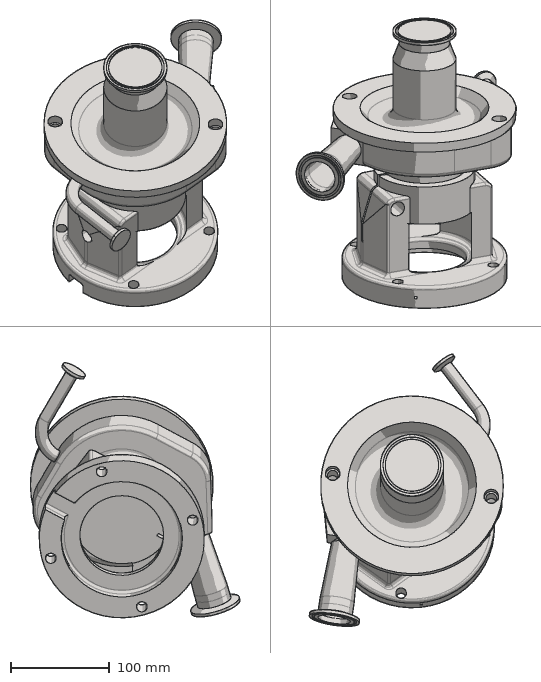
import cadquery as cq
import math

overall_depth = 278.4

total_height = 270.0
base_height = 23.7
collar_bottom = 78.8
collar_top = 119.7
neck_top = 130.0
casing_bottom = 139.5
flange_bottom = 175.5
flange_top = 185.5
inlet_shoulder = 239.0
inlet_neck_bottom = 256.0

base_radius = 83.5
base_bore_radius = 42.3
base_edge_fillet = 3.5
base_bolt_distance = 74.5
base_bolt_radius = 5.3
recess_radius = 61.2
recess_height = 12.5
recess_fillet = 3.0
notch_width = 20.3
pin_hole_radius = 1.5
pin_hole_height = 11.7
pin_hole_depth = 8.4
pin_hole_angle = 150.0

pillar_half_width = 39.0
pillar_top = 108.5
pillar_bore_radius = 52.0
pillar_corner_y = 58.0
ridge_y = 69.0
ridge_half_width = 2.2
slope_start_height = 70.5
slope_top_y = 57.0
pillar_top_fillet = 9.2
pillar_side_fillet = 2.8
foot_fillet = 5.0

vent_radius = 7.0
vent_height = 66.2
clamp_bolt_radius = 7.5
clamp_bolt_y = 47.0
clamp_bolt_height = 97.1
split_width = 2.8
split_bottom = 50.0

collar_radius = 51.2
neck_radius = 41.8
flange_radius = 92.5
dish_radius = 65.0
dish_floor_radius = 57.3
dish_floor_depth = 9.0
inlet_radius = 32.0
inlet_neck_radius = 25.5
inlet_rim_radius = 32.0

casing_radius = 75.2
casing_corner_radius = 34.8
casing_fillet = 4.5
flange_bolt_offset = 57.3
flange_bolt_radius = 7.2
flange_thread_radius = 5.3
flange_thread_depth = 22.3

ferrule_length = 5.5
ferrule_rim = 3.0
groove_inset = 2.8
groove_width = 2.2
groove_depth = 1.0

port_height = 157.3
outlet_offset = 58.2
outlet_face = 61.5
outlet_face_edge = 77.7
outlet_taper_end = 124.0
outlet_end = 143.5
outlet_root_radius = 14.5
outlet_radius = 17.5
outlet_wall = 1.0
outlet_bore_taper_end = 131.5
outlet_root_bevel = 3.3
outlet_bore_root_radius = 9.5
outlet_rim_radius = 25.5

drain_radius = 6.5
drain_height = 159.8
drain_bend = 28.7
drain_end_x = 89.0
drain_rim_radius = 12.8
drain_start_y = -69.5
outlet_tip_y = (outlet_end + outlet_offset + outlet_rim_radius) / math.sqrt(2)
drain_y = outlet_tip_y - overall_depth + drain_rim_radius


def turned(points, plane):
    """Revolve (radius, height) points about the normal of the given plane."""
    body = cq.Workplane("XZ").polyline(points).close().revolve(360, (0, 0), (0, 1))
    return cq.Workplane(body.val().moved(cq.Location(plane)))


def ferrule_points(end, tube_radius, rim_radius):
    """Tapered back and rim of a ferrule whose flat face lies at the given height."""
    return [
        (tube_radius, end - ferrule_length),
        (rim_radius, end - ferrule_rim),
        (rim_radius, end),
    ]


def gasket_groove(end, rim_radius, plane):
    """Ring to cut from the flat face of a ferrule."""
    outer = rim_radius - groove_inset
    inner = outer - groove_width
    bottom = end - groove_depth
    return turned([(inner, bottom), (outer, bottom), (outer, end), (inner, end)], plane)


def diagonal_point(along, across):
    """XY point from distances along (-1, 1) and along (1, 1)."""
    return ((across - along) / math.sqrt(2), (across + along) / math.sqrt(2))


def circle_point(center, radius, degrees):
    angle = math.radians(degrees)
    return (center[0] + radius * math.cos(angle), center[1] + radius * math.sin(angle))


def make_base():
    """Base disc with a bore, a wider recess below, a key notch and four bolt holes."""
    base = cq.Workplane().circle(base_radius).extrude(base_height)
    bore = cq.Workplane().circle(base_bore_radius).extrude(base_height)
    base = base.cut(bore).faces(">Z").edges().fillet(base_edge_fillet)
    recess = cq.Workplane().circle(recess_radius).extrude(recess_height)
    recess = recess.faces(">Z").edges().fillet(recess_fillet)
    notch = (
        cq.Workplane("XZ")
        .rect(notch_width, 2 * recess_height)
        .extrude(base_radius)
        .edges("|Y and >Z")
        .fillet(recess_fillet)
    )
    bolts = (
        cq.Workplane()
        .polarArray(base_bolt_distance, 45, 360, 4)
        .circle(base_bolt_radius)
        .extrude(base_height)
    )
    return base.cut(recess.union(notch)).cut(bolts)


def cut_pin_hole(body):
    """Small radial hole in the rim of the base."""
    angle = math.radians(pin_hole_angle)
    outward = (math.cos(angle), math.sin(angle), 0)
    start = (base_radius * outward[0], base_radius * outward[1], pin_hole_height)
    plane = cq.Plane(origin=start, xDir=(0, 0, 1), normal=outward)
    return body.cut(cq.Workplane(plane).circle(pin_hole_radius).extrude(-pin_hole_depth))


def make_pillar():
    """Pillar on the +Y side: ridged outer face with a sloping top, cut by the bore inside."""
    pillar = (
        cq.Workplane(origin=(0, 0, base_height))
        .polyline([
            (-pillar_half_width, 0),
            (pillar_half_width, 0),
            (pillar_half_width, pillar_corner_y),
            (ridge_half_width, ridge_y),
            (-ridge_half_width, ridge_y),
            (-pillar_half_width, pillar_corner_y),
        ])
        .close()
        .extrude(pillar_top - base_height)
    )
    slope = (
        cq.Workplane("YZ", origin=(-pillar_half_width, 0, 0))
        .polyline([
            (ridge_y, slope_start_height),
            (slope_top_y, pillar_top),
            (ridge_y, pillar_top),
        ])
        .close()
        .extrude(2 * pillar_half_width)
    )
    pillar = pillar.cut(slope)
    pillar = pillar.faces(">Z").edges(">Y").fillet(pillar_top_fillet)
    pillar = pillar.faces("<X or >X").edges("not <Z").edges("not <Y").fillet(pillar_side_fillet)
    bore = cq.Workplane().circle(pillar_bore_radius).extrude(collar_bottom)
    return pillar.cut(bore)


def make_stand():
    """Base carrying two opposite pillars, with fillets at their feet."""
    margin = 0.3
    pillar = make_pillar()
    opposite = pillar.rotate((0, 0, 0), (0, 0, 1), 180)
    stand = make_base().union(pillar).union(opposite)
    foot_edges = cq.selectors.BoxSelector(
        (-pillar_half_width - margin, -ridge_y - margin, base_height - margin),
        (pillar_half_width + margin, ridge_y + margin, base_height + margin),
        boundingbox=True,
    )
    return stand.edges(foot_edges).fillet(foot_fillet)


def make_column():
    """Collar, neck, flange and inlet, as one turned body."""
    flare = casing_bottom - neck_top
    profile = (
        cq.Workplane("XZ")
        .moveTo(0, collar_bottom)
        .lineTo(collar_radius, collar_bottom)
        .lineTo(collar_radius, collar_top)
        .lineTo(neck_radius, collar_top)
        .lineTo(neck_radius, neck_top)
        .radiusArc((neck_radius + flare, casing_bottom), flare)
        .lineTo(neck_radius + flare, flange_bottom)
        .lineTo(flange_radius, flange_bottom)
        .lineTo(flange_radius, flange_top)
        .lineTo(inlet_radius, flange_top)
        .lineTo(inlet_radius, inlet_shoulder)
        .lineTo(inlet_neck_radius, inlet_neck_bottom)
    )
    for point in ferrule_points(total_height, inlet_neck_radius, inlet_rim_radius):
        profile = profile.lineTo(*point)
    column = profile.lineTo(0, total_height).close().revolve(360, (0, 0), (0, 1))
    return column.cut(gasket_groove(total_height, inlet_rim_radius, cq.Plane.XY()))


def make_casing():
    """Round casing with two rounded bolt corners and a flat landing for the outlet."""
    corner = casing_radius - casing_corner_radius
    landing_outer = diagonal_point(outlet_face, outlet_face_edge)
    landing_inner = diagonal_point(outlet_face, math.sqrt(casing_radius**2 - outlet_face**2))

    run = landing_outer[0] - corner
    rise = landing_outer[1] - corner
    spread = math.acos(casing_corner_radius / math.hypot(run, rise))
    tangent_angle = math.degrees(math.atan2(rise, run) - spread)
    corner_center = (corner, corner)

    casing = (
        cq.Workplane(origin=(0, 0, casing_bottom))
        .moveTo(casing_radius, 0)
        .lineTo(casing_radius, corner)
        .threePointArc(
            circle_point(corner_center, casing_corner_radius, tangent_angle / 2),
            circle_point(corner_center, casing_corner_radius, tangent_angle),
        )
        .lineTo(*landing_outer)
        .lineTo(*landing_inner)
        .threePointArc(circle_point((0, 0), casing_radius, 150), (-casing_radius, 0))
        .lineTo(-casing_radius, -corner)
        .threePointArc(
            circle_point((-corner, -corner), casing_corner_radius, 225),
            (-corner, -casing_radius),
        )
        .lineTo(0, -casing_radius)
        .threePointArc(circle_point((0, 0), casing_radius, 315), (casing_radius, 0))
        .close()
        .extrude(flange_bottom - casing_bottom)
    )
    casing = casing.faces("<Z").edges("not(|(1,1,0))").fillet(casing_fillet)
    return casing


def cut_dish(body):
    """Ring-shaped dish around the inlet: a round trough, tangent to the tube, with a sloping outer wall."""
    run = dish_floor_radius - inlet_radius
    trough_radius = (run**2 + dish_floor_depth**2) / (2 * run)
    trough_bottom = (inlet_radius + trough_radius, flange_top - trough_radius)
    dish = (
        cq.Workplane("XZ")
        .moveTo(dish_radius, flange_top)
        .lineTo(dish_floor_radius, flange_top - dish_floor_depth)
        .threePointArc(trough_bottom, (inlet_radius, flange_top))
        .close()
        .revolve(360, (0, 0), (0, 1))
    )
    return body.cut(dish)


def cut_flange_bolts(body):
    """Clearance holes in the flange over pointed threaded holes in the casing corners."""
    thread_bottom = flange_bottom - flange_thread_depth
    profile = [
        (0, thread_bottom - flange_thread_radius / 2),
        (flange_thread_radius, thread_bottom),
        (flange_thread_radius, flange_bottom),
        (flange_bolt_radius, flange_bottom),
        (flange_bolt_radius, flange_top),
        (0, flange_top),
    ]
    for side in (-1, 1):
        offset = side * flange_bolt_offset
        body = body.cut(turned(profile, cq.Plane(origin=(offset, offset, 0))))
    return body


def add_outlet(body):
    """Tapered outlet pipe, bevelled where it meets the casing, with a blind tapered bore."""
    axis_x, axis_y = diagonal_point(0, outlet_offset)
    plane = cq.Plane(origin=(axis_x, axis_y, port_height), xDir=(0, 0, 1), normal=(-1, 1, 0))
    overlap = 2.8
    pipe = turned(
        [
            (0, outlet_face - overlap),
            (outlet_root_radius - outlet_root_bevel, outlet_face - overlap),
            (outlet_root_radius - outlet_root_bevel, outlet_face),
            (outlet_root_radius, outlet_face + outlet_root_bevel),
            (outlet_radius, outlet_taper_end),
            *ferrule_points(outlet_end, outlet_radius, outlet_rim_radius),
            (0, outlet_end),
        ],
        plane,
    )
    bore = turned(
        [
            (0, outlet_face),
            (outlet_bore_root_radius, outlet_face),
            (outlet_radius - outlet_wall, outlet_bore_taper_end),
            (outlet_radius - outlet_wall, outlet_end),
            (0, outlet_end),
        ],
        plane,
    )
    groove = gasket_groove(outlet_end, outlet_rim_radius, plane)
    return body.union(pipe).cut(bore).cut(groove)


def add_drain(body):
    """Thin pipe leaving the casing toward -Y and turning to +X."""
    path = (
        cq.Workplane(origin=(0, 0, drain_height))
        .moveTo(0, drain_start_y)
        .lineTo(0, drain_y + drain_bend)
        .radiusArc((drain_bend, drain_y), -drain_bend)
        .lineTo(drain_end_x, drain_y)
    )
    pipe = cq.Workplane("XZ", origin=(0, drain_start_y, drain_height)).circle(drain_radius).sweep(path)
    plane = cq.Plane(origin=(0, drain_y, drain_height), xDir=(0, 1, 0), normal=(1, 0, 0))
    ferrule_start = (0, drain_end_x - ferrule_length)
    rim = turned(
        [ferrule_start, *ferrule_points(drain_end_x, drain_radius, drain_rim_radius), (0, drain_end_x)],
        plane,
    )
    return body.union(pipe).union(rim)


def cut_pillar_openings(body):
    """Vent through the -Y pillar, and a split with its cross bolt hole in the +Y pillar."""
    vent = (
        cq.Workplane("XZ", origin=(0, 0, vent_height))
        .circle(vent_radius)
        .extrude(base_radius)
    )
    cross_hole = (
        cq.Workplane("YZ", origin=(0, clamp_bolt_y, clamp_bolt_height))
        .circle(clamp_bolt_radius)
        .extrude(base_radius, both=True)
    )
    split_depth = base_radius - neck_radius
    split_height = collar_top - split_bottom
    split = cq.Workplane(origin=(0, neck_radius, split_bottom)).box(
        split_width, split_depth, split_height, centered=(True, False, False)
    )
    return body.cut(vent).cut(cross_hole).cut(split)


result = make_stand().union(make_column()).union(make_casing())
result = cut_dish(result)
result = cut_pillar_openings(result)
result = cut_pin_hole(result)
result = cut_flange_bolts(result)
result = add_outlet(result)
result = add_drain(result)